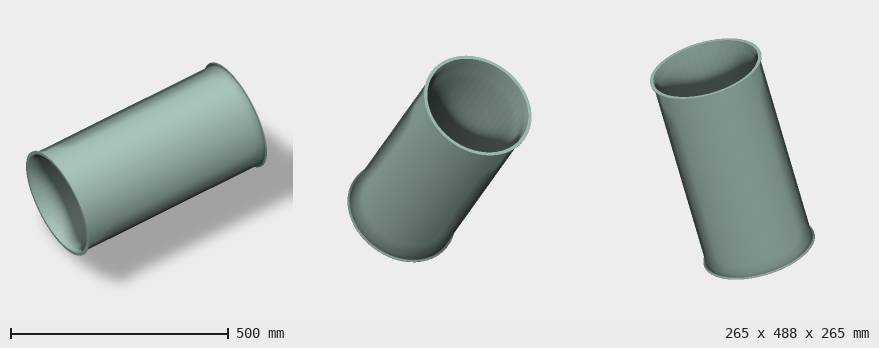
import cadquery as cq

length = 488.0
flange_diameter = 265.0
tube_diameter = 253.0
bore_diameter = 249.0
flange_thickness = 2.0


def cylinder_along_y(diameter, start, height):
    """Solid cylinder on the Y axis, from start toward +Y."""
    plane = cq.Plane(origin=(0, start, 0), xDir=(1, 0, 0), normal=(0, 1, 0))
    return cq.Workplane(plane).circle(diameter / 2).extrude(height)


front_end = -length / 2
back_end = length / 2
body = cylinder_along_y(tube_diameter, front_end, length)

for flange_start in (front_end, back_end - flange_thickness):
    body = body.union(cylinder_along_y(flange_diameter, flange_start, flange_thickness))

result = body.cut(cylinder_along_y(bore_diameter, front_end, length))